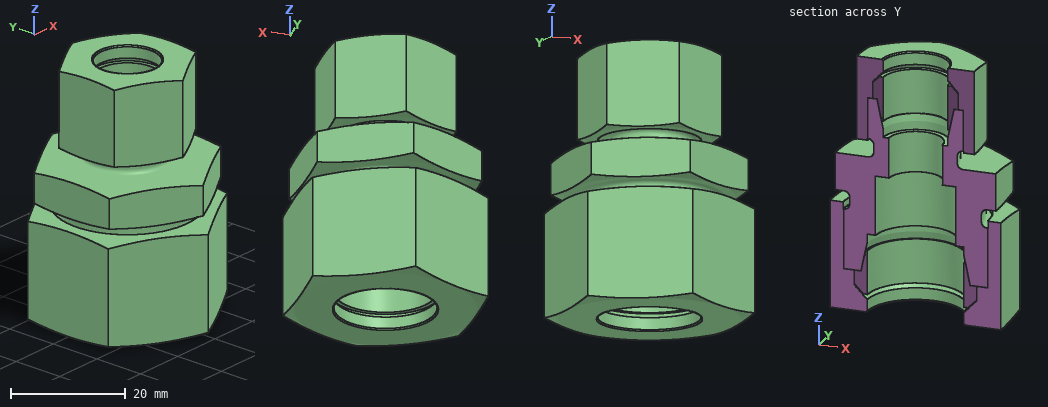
import cadquery as cq
import math


total_height = 47.5
large_nut_height = 20.0
small_nut_height = 15.5
body_hex_bottom = 22.0
body_hex_height = 7.0
body_hex_top = body_hex_bottom + body_hex_height

large_nut_flats = 32.0
small_nut_flats = 22.0
body_hex_flats = 30.0
hex_chamfer_angle = 15.0

large_tube_diameter = 18.0
large_bore_diameter = 15.0
large_thread_diameter = 27.0
large_groove_diameter = 24.7
large_mouth_diameter = 20.3
large_ring_diameter = 23.0

small_tube_diameter = 12.0
small_bore_diameter = 10.0
small_thread_diameter = 18.0
small_groove_diameter = 15.7
small_mouth_diameter = 14.3
small_ring_diameter = 16.0

groove_width = 3.3
groove_fillet = 1.0
nut_lip_depth = 2.4
nut_lip_chamfer = 0.25
seat_depth = 7.5
ring_wall = 0.9
ring_nose_length = 4.0
cone_half_angle = 12.0
tube_stop_depth = 7.0

large_stub_end = seat_depth
small_stub_end = total_height - seat_depth
bore_step = body_hex_bottom + body_hex_height / 2


def revolve_profile(sketch):
    """Close an (r, z) outline and turn it about the Z axis."""
    return sketch.close().revolve(360, (0, 0, 0), (0, 1, 0))


def cylinder(diameter, z_start, z_end):
    """Solid cylinder on the Z axis between two heights, in either order."""
    bottom = min(z_start, z_end)
    return cq.Workplane("XY").workplane(offset=bottom).circle(diameter / 2).extrude(abs(z_end - z_start))


def cone(diameter_start, z_start, diameter_end, z_end):
    """Solid truncated cone on the Z axis between two heights, in either order."""
    outline = (
        cq.Workplane("XZ")
        .moveTo(0, z_start)
        .lineTo(diameter_start / 2, z_start)
        .lineTo(diameter_end / 2, z_end)
        .lineTo(0, z_end)
    )
    return revolve_profile(outline)


def chamfered_hex(flats, bottom, height):
    """Hexagonal prism with flats facing +X and -X and conically trimmed corners at both ends."""
    corner_radius = flats / math.sqrt(3)
    corner_drop = (corner_radius - flats / 2) * math.tan(math.radians(hex_chamfer_angle))
    top = bottom + height
    prism = (
        cq.Workplane("XY")
        .workplane(offset=bottom)
        .polygon(6, 2 * corner_radius)
        .extrude(height)
        .rotate((0, 0, 0), (0, 0, 1), 30)
    )
    envelope_outline = (
        cq.Workplane("XZ")
        .moveTo(0, bottom)
        .lineTo(flats / 2, bottom)
        .lineTo(corner_radius, bottom + corner_drop)
        .lineTo(corner_radius, top - corner_drop)
        .lineTo(flats / 2, top)
        .lineTo(0, top)
    )
    return prism.intersect(revolve_profile(envelope_outline))


def threaded_stub(thread_diameter, groove_diameter, hex_face, outward, stub_end):
    """Round stub on a body hex face; outward is +1 up or -1 down.

    A groove with filleted flanks separates the thread from the hexagon.
    """
    thread_radius = thread_diameter / 2
    groove_radius = groove_diameter / 2
    fillet_end_radius = groove_radius + groove_fillet
    arc_sag = groove_fillet * (1 - math.sqrt(0.5))
    groove_end = hex_face + outward * groove_width
    outline = (
        cq.Workplane("XZ")
        .moveTo(0, hex_face)
        .lineTo(fillet_end_radius, hex_face)
        .threePointArc(
            (groove_radius + arc_sag, hex_face + outward * arc_sag),
            (groove_radius, hex_face + outward * groove_fillet),
        )
        .lineTo(groove_radius, groove_end - outward * groove_fillet)
        .threePointArc(
            (groove_radius + arc_sag, groove_end - outward * arc_sag),
            (fillet_end_radius, groove_end),
        )
        .lineTo(thread_radius, groove_end)
        .lineTo(thread_radius, stub_end)
        .lineTo(0, stub_end)
    )
    return revolve_profile(outline)


def cutting_ring(tube_diameter, mouth_diameter, ring_diameter, stub_end, outward):
    """Ring with a head between nut and stub, and a conical nose inside the stub's mouth.

    The outer end of the head has a 45 degree cone that bears on the cone of the nut.
    """
    face_end = stub_end + outward * (seat_depth - nut_lip_depth - ring_wall)
    face_diameter = tube_diameter + 2 * ring_wall
    cone_start = face_end - outward * (ring_diameter - face_diameter) / 2
    nose_end = stub_end - outward * ring_nose_length
    nose_diameter = mouth_diameter - 2 * ring_nose_length * math.tan(math.radians(cone_half_angle))
    ring = cylinder(ring_diameter, stub_end, cone_start)
    ring = ring.union(cone(ring_diameter, cone_start, face_diameter, face_end))
    ring = ring.union(cone(mouth_diameter, stub_end, nose_diameter, nose_end))
    return ring.cut(cylinder(tube_diameter, nose_end, face_end))


def union_nut(flats, height, outer_face, outward, tube_diameter, ring_diameter, thread_diameter):
    """Hexagonal nut with a tube opening, a 45 degree cone for the ring and a bore for the thread."""
    inner_face = outer_face - outward * height
    lip_end = outer_face - outward * nut_lip_depth
    cone_end = lip_end - outward * (ring_diameter - tube_diameter) / 2
    thread_end = outer_face - outward * seat_depth
    opening_diameter = tube_diameter + 2 * nut_lip_chamfer
    nut = chamfered_hex(flats, min(outer_face, inner_face), height)
    nut = nut.cut(cylinder(thread_diameter, inner_face, thread_end))
    nut = nut.cut(cylinder(ring_diameter, thread_end, cone_end))
    nut = nut.cut(cone(ring_diameter, cone_end, tube_diameter, lip_end))
    nut = nut.cut(cylinder(tube_diameter, lip_end, outer_face))
    return nut.cut(cone(opening_diameter, outer_face, tube_diameter, outer_face - outward * nut_lip_chamfer))


def cut_tube_socket(body, tube_diameter, mouth_diameter, stub_end, outward):
    """Cut the tube socket and its conical mouth into one end of the body."""
    cone_depth = (mouth_diameter - tube_diameter) / 2 / math.tan(math.radians(cone_half_angle))
    cone_end = stub_end - outward * cone_depth
    body = body.cut(cone(mouth_diameter, stub_end, tube_diameter, cone_end))
    return body.cut(cylinder(tube_diameter, stub_end - outward * tube_stop_depth, stub_end))


def fitting_body():
    """Central hexagon with both stubs, their tube sockets and the stepped through bore."""
    body = chamfered_hex(body_hex_flats, body_hex_bottom, body_hex_height)
    body = body.union(
        threaded_stub(large_thread_diameter, large_groove_diameter, body_hex_bottom, -1, large_stub_end)
    )
    body = body.union(
        threaded_stub(small_thread_diameter, small_groove_diameter, body_hex_top, 1, small_stub_end)
    )
    body = cut_tube_socket(body, large_tube_diameter, large_mouth_diameter, large_stub_end, -1)
    body = cut_tube_socket(body, small_tube_diameter, small_mouth_diameter, small_stub_end, 1)
    body = body.cut(cylinder(large_bore_diameter, large_stub_end, bore_step))
    return body.cut(cylinder(small_bore_diameter, bore_step, small_stub_end))


body = fitting_body()
large_ring = cutting_ring(large_tube_diameter, large_mouth_diameter, large_ring_diameter, large_stub_end, -1)
small_ring = cutting_ring(small_tube_diameter, small_mouth_diameter, small_ring_diameter, small_stub_end, 1)
large_nut = union_nut(
    large_nut_flats, large_nut_height, 0, -1, large_tube_diameter, large_ring_diameter, large_thread_diameter
)
small_nut = union_nut(
    small_nut_flats,
    small_nut_height,
    total_height,
    1,
    small_tube_diameter,
    small_ring_diameter,
    small_thread_diameter,
)

result = cq.Compound.makeCompound(
    [
        body.solids().val(),
        large_ring.solids().val(),
        small_ring.solids().val(),
        large_nut.solids().val(),
        small_nut.solids().val(),
    ]
)